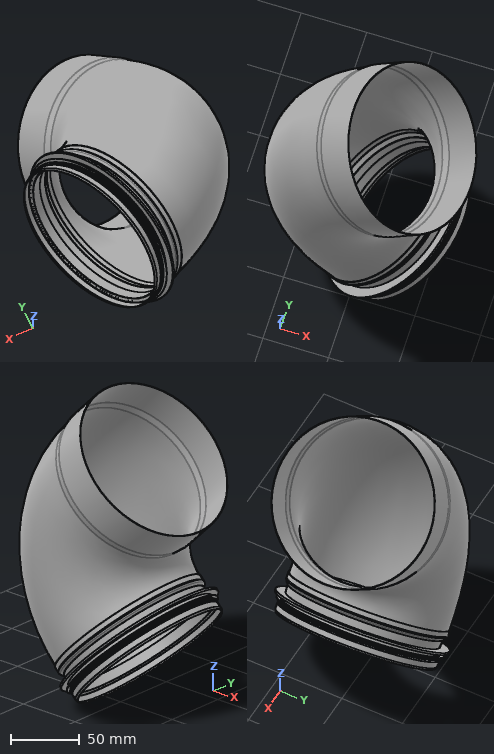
import cadquery as cq

BEND_RADIUS = 77.5
BEND_ANGLE = 90
HALF_ANGLE = BEND_ANGLE / 2
TUBE_OD = 124.0
TUBE_ID = 123.0

SOCKET_OD = 126.2
SOCKET_ID = 125.3
SOCKET_CONE_LENGTH = 5.9
SOCKET_LENGTH = 35.5

STUB_LENGTH = 4.2
SPIGOT_LENGTH = 30.0
SPIGOT_OD = 125.3
SPIGOT_ID = TUBE_OD
COLLAR_END = 5.1
SHOULDER_END = 6.3
SHOULDER_OD = 124.0
GROOVE_START = 8.3
GROOVE_OD = 120.4
GROOVE_ID = 119.2
SEAT_START = 14.6
SEAT_END = 22.5
SEAT_OD = 119.2
SEAT_ID = 118.2
RIM_START = 23.7
LIP_START = 28.3
LIP_OD = 124.0
LIP_ID = 123.0

GASKET_OD = 123.0
THICK_FIN = (SEAT_START, 1.7, 134.5)
THIN_FINS = [(19.5, 0.5, 129.5), (21.5, 0.5, 126.2)]


def revolved(profile):
    """Revolve a closed (diameter, height) profile about the Z axis."""
    points = [(diameter / 2, height) for diameter, height in profile]
    return cq.Workplane("XZ").polyline(points).close().revolve(360, (0, 0), (0, 1))


def ring(outer, inner, start, length):
    return revolved([
        (inner, start), (outer, start),
        (outer, start + length), (inner, start + length),
    ])


def at_upper_end(body):
    """Move a body from the Z axis to the upper end of the bend, pointing up and out."""
    return body.translate((-BEND_RADIUS, 0, 0)).rotate((0, 0, 0), (0, 1, 0), HALF_ANGLE)


def at_lower_end(body):
    """Move a body from the Z axis to the lower end of the bend, pointing down and out."""
    flipped = body.rotate((0, 0, 0), (1, 0, 0), 180)
    return flipped.translate((-BEND_RADIUS, 0, 0)).rotate((0, 0, 0), (0, 1, 0), -HALF_ANGLE)


def make_elbow():
    bend = (
        cq.Workplane("XY")
        .center(-BEND_RADIUS, 0)
        .circle(TUBE_OD / 2)
        .circle(TUBE_ID / 2)
        .revolve(BEND_ANGLE, (BEND_RADIUS, 0), (BEND_RADIUS, 1))
        .rotate((0, 0, 0), (0, 1, 0), -HALF_ANGLE)
    )
    socket = revolved([
        (TUBE_ID, 0), (TUBE_OD, 0),
        (SOCKET_OD, SOCKET_CONE_LENGTH), (SOCKET_OD, SOCKET_LENGTH),
        (SOCKET_ID, SOCKET_LENGTH), (SOCKET_ID, SOCKET_CONE_LENGTH),
    ])
    stub = ring(TUBE_OD, TUBE_ID, 0, STUB_LENGTH)
    return bend.union(at_upper_end(socket)).union(at_lower_end(stub))


def make_spigot():
    outside = [
        (SPIGOT_OD, 0), (SPIGOT_OD, COLLAR_END), (SHOULDER_OD, SHOULDER_END),
        (GROOVE_OD, GROOVE_START), (SEAT_OD, SEAT_START), (SEAT_OD, SEAT_END),
        (SPIGOT_OD, RIM_START), (SPIGOT_OD, LIP_START), (LIP_OD, SPIGOT_LENGTH),
    ]
    inside = [
        (LIP_ID, SPIGOT_LENGTH), (SPIGOT_ID, LIP_START), (SPIGOT_ID, RIM_START),
        (SEAT_ID, SEAT_END), (SEAT_ID, SEAT_START), (GROOVE_ID, GROOVE_START),
        (TUBE_ID, STUB_LENGTH), (SPIGOT_ID, STUB_LENGTH), (SPIGOT_ID, 0),
    ]
    return at_lower_end(revolved(outside + inside))


def make_gasket():
    gasket = ring(GASKET_OD, SEAT_OD, SEAT_START, SEAT_END - SEAT_START)
    for start, thickness, diameter in [THICK_FIN, *THIN_FINS]:
        gasket = gasket.union(ring(diameter, SEAT_OD, start, thickness))
    return at_lower_end(gasket)


elbow = make_elbow()
spigot = make_spigot()
gasket = make_gasket()
result = cq.Compound.makeCompound([elbow.val(), spigot.val(), gasket.val()])